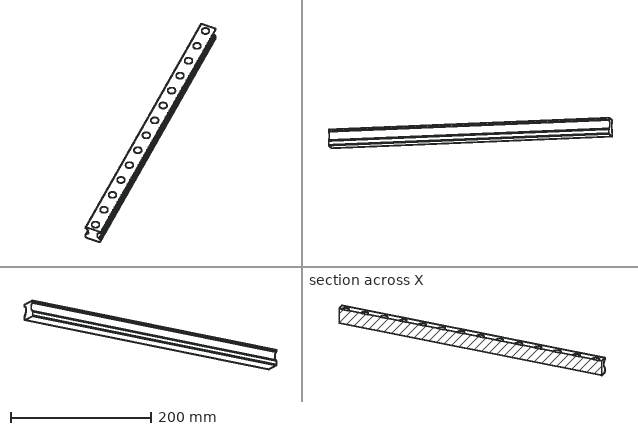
import cadquery as cq

length = 410.0
width = 23.0
height = 23.8
half_width = width / 2

waist_center = 14.5
web_height = 6.0
web_fillet = 1.2
flank_run = 2.8
flank_inset = 1.55
flank_step = 0.25

head_thickness = 3.0
head_fillet = 1.2
base_chamfer = 1.2

hole_count = 14
hole_diameter = 11.0
hole_depth = 0.5
hole_end_distance = 10.0
hole_pitch = (length - 2 * hole_end_distance) / (hole_count - 1)

flank_tip = half_width - flank_inset
flank_root = flank_tip - flank_step
web_half_width = flank_tip - flank_run
web_bottom = waist_center - web_height / 2
web_top = waist_center + web_height / 2
lower_tip = web_bottom - flank_run
upper_tip = web_top + flank_run
lower_root = lower_tip - flank_step
upper_root = upper_tip + flank_step
shoulder_height = lower_root - (half_width - flank_root)


def rail_body():
    """Extrude the waisted cross-section, symmetric about X = 0, and round its edges."""
    right_side = [
        (half_width - base_chamfer, 0),
        (half_width, base_chamfer),
        (half_width, shoulder_height),
        (flank_root, lower_root),
        (flank_tip, lower_tip),
        (web_half_width, web_bottom),
        (web_half_width, web_top),
        (flank_tip, upper_tip),
        (flank_root, upper_root),
        (half_width, height - head_thickness),
        (half_width, height),
    ]
    left_side = [(-x, z) for x, z in reversed(right_side)]
    body = (
        cq.Workplane("XZ")
        .polyline(right_side + left_side)
        .close()
        .extrude(length / 2, both=True)
    )
    body = body.edges("|Y").edges(">Z").fillet(head_fillet)
    for x in (-web_half_width, web_half_width):
        for z in (web_bottom, web_top):
            corner = cq.selectors.NearestToPointSelector((x, 0, z))
            body = body.edges("|Y").edges(corner).fillet(web_fillet)
    return body


def top_recesses():
    """Flat-bottomed round pockets, evenly spaced along the top face."""
    return (
        cq.Workplane("XY")
        .workplane(offset=height - hole_depth)
        .rarray(4, hole_pitch, 1, hole_count)
        .circle(hole_diameter / 2)
        .extrude(hole_depth)
    )


result = rail_body().cut(top_recesses())